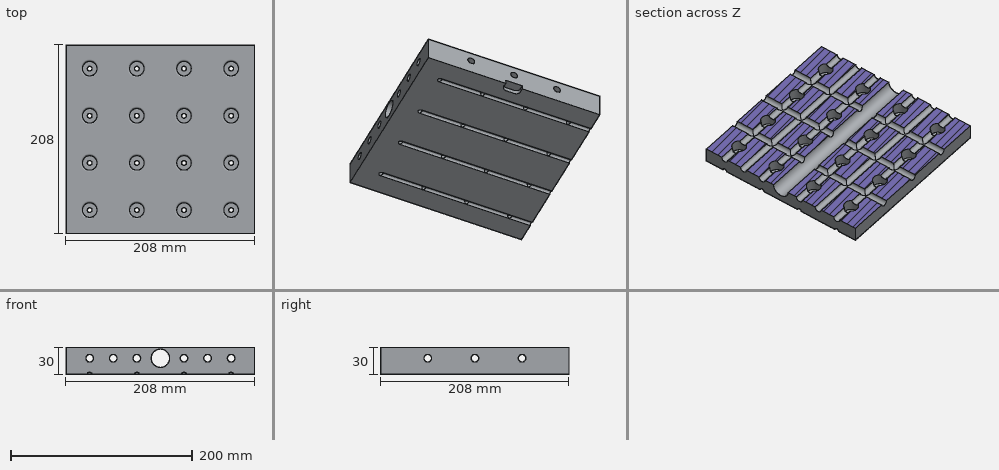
import cadquery as cq

side = 208.0
thickness = 30.0

pocket_pitch = side / 4
pockets_per_row = 4
pocket_dia = 16.0
pocket_rim_dia = 20.0
pocket_depth = 25.0
drain_dia = 5.0

cross_hole_pitch = pocket_pitch / 2
cross_holes_per_half = 3
cross_hole_height = 17.9
cross_hole_dia = 8.1
centre_bore_dia = 20.0

recess_width = 20.0
recess_length = 10.0
recess_height = 5.0
recess_corner_radius = 5.0

row_start = -pocket_pitch * (pockets_per_row - 1) / 2
pocket_rows = [row_start + i * pocket_pitch for i in range(pockets_per_row)]


def make_pocket():
    """Pocket with a rounded rim and a drain hole down to the underside."""
    rim_radius = (pocket_rim_dia - pocket_dia) / 2
    return (
        cq.Workplane("XZ")
        .lineTo(drain_dia / 2, 0)
        .lineTo(drain_dia / 2, thickness - pocket_depth)
        .lineTo(pocket_dia / 2, thickness - pocket_depth)
        .lineTo(pocket_dia / 2, thickness - rim_radius)
        .radiusArc((pocket_rim_dia / 2, thickness), rim_radius)
        .lineTo(0, thickness)
        .close()
        .revolve(360, (0, 0), (0, 1))
    )


def hole_along_y(x, diameter):
    """Hole through the whole plate from -Y to +Y."""
    return (
        cq.Workplane("XZ", origin=(x, side / 2, cross_hole_height))
        .circle(diameter / 2)
        .extrude(side)
    )


def hole_along_x(y, diameter):
    """Hole through the whole plate from -X to +X."""
    return (
        cq.Workplane("YZ", origin=(-side / 2, y, cross_hole_height))
        .circle(diameter / 2)
        .extrude(side)
    )


def make_channel(x):
    """Half-round channel from the -Y side to the last drain hole of its column."""
    end_y = pocket_rows[-1]
    return (
        cq.Workplane("XZ", origin=(x, end_y, 0))
        .circle(drain_dia / 2)
        .extrude(side / 2 + end_y)
    )


def make_recess():
    """Recess with its two inner vertical corners rounded."""
    return (
        cq.Workplane("XY")
        .box(recess_length, recess_width, recess_height, centered=(False, True, False))
        .edges("|Z and >X")
        .fillet(recess_corner_radius)
        .translate((-side / 2, 0, 0))
    )


result = cq.Workplane("XY").box(side, side, thickness, centered=(True, True, False))

for x in pocket_rows:
    for y in pocket_rows:
        result = result.cut(make_pocket().translate((x, y, 0)))
    result = result.cut(make_channel(x))

result = result.cut(hole_along_y(0, centre_bore_dia))
for step in range(1, cross_holes_per_half + 1):
    for x in (-step * cross_hole_pitch, step * cross_hole_pitch):
        result = result.cut(hole_along_y(x, cross_hole_dia))

for y in (-pocket_pitch, 0, pocket_pitch):
    result = result.cut(hole_along_x(y, cross_hole_dia))

result = result.cut(make_recess())